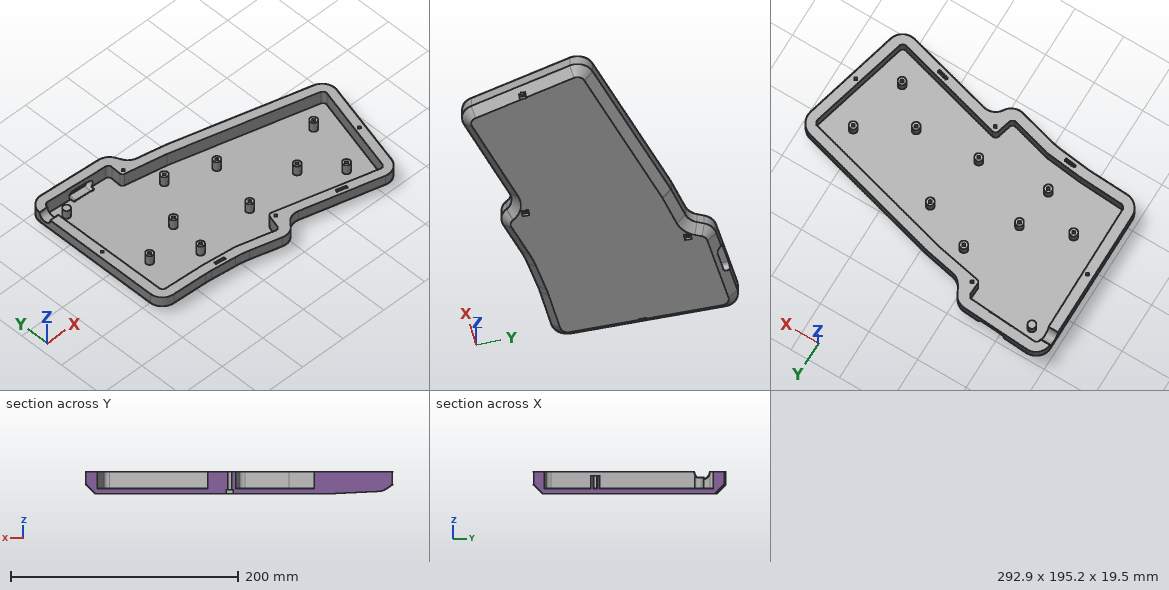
import cadquery as cq
import math

height = 19.5
floor_thickness = 5.0
bottom_chamfer = 8.2

outer_radius = 15.0
gentle_radius = 99.5
jog_radius = 14.7
inner_radius = 4.0
reentrant_radius = 3.0

outer_corners = [
    (0, 196.0, outer_radius),
    (90.8, 190.2, outer_radius),
    (100.8, 170.0, outer_radius),
    (138.5, 162.3, outer_radius),
    (296.2, 119.8, outer_radius),
    (263.5, -3.5, outer_radius),
    (153.8, 25.5, jog_radius),
    (142.0, 6.7, jog_radius),
    (92.3, 20.2, gentle_radius),
    (55.0, 24.5, gentle_radius),
    (0, 27.2, outer_radius),
]
inner_corners = [
    (9.7, 185.5, inner_radius),
    (84.7, 180.2, inner_radius),
    (83.8, 163.0, reentrant_radius),
    (130.0, 153.8, 0),
    (284.2, 112.5, inner_radius),
    (256.0, 8.5, inner_radius),
    (142.5, 39.0, inner_radius),
    (136.8, 18.8, inner_radius),
    (94.3, 30.2, 0),
    (58.0, 34.3, 0),
    (10.5, 37.0, inner_radius),
]

post_diameter = 8.0
post_bottom = floor_thickness / 2
post_top = 16.0
screw_diameter = 3.0
screw_posts = [
    (113.7, 140.0), (82.5, 96.7), (37.0, 80.0), (77.0, 56.8), (144.5, 64.0),
    (159.7, 121.0), (254.3, 95.8), (206.5, 67.7), (238.8, 38.5),
]

support_post = (24.3, 171.7)
support_top = 14.7

rim_holes = [(6.0, 107.8), (89.0, 166.5), (146.2, 32.8), (274.3, 58.5)]
nut_width = 6.0
nut_depth = 3.5

rim_slots = [(72.5, 27.5, -7), (210.7, 15.8, -15)]
rim_slot_length = 10.5
rim_slot_width = 2.3
rim_slot_depth = 3.0

notch_radius = 6.7
notch_y = 174.0
notch_length = 14.7

port_length = 27.2
port_height = 10.0
port_bottom = 3.8
port_x = 52.5
port_inner_y = 178.7
port_cut_length = 23.5
port_angle = -4.0


def direction(start, end):
    """Unit vector from start to end."""
    dx = end[0] - start[0]
    dy = end[1] - start[1]
    length = math.hypot(dx, dy)
    return dx / length, dy / length


def rounded_outline(corners):
    """Closed polygon on the XY plane with every corner rounded by a tangent arc.

    A corner of radius 0 stays sharp.
    """
    arcs = []
    for i, (x, y, radius) in enumerate(corners):
        to_last = direction((x, y), corners[i - 1])
        to_next = direction((x, y), corners[(i + 1) % len(corners)])
        cosine = to_last[0] * to_next[0] + to_last[1] * to_next[1]
        half_angle = math.acos(cosine) / 2
        tangent = radius / math.tan(half_angle)
        arc_gap = radius / math.sin(half_angle) - radius
        bisector = direction((0, 0), (to_last[0] + to_next[0], to_last[1] + to_next[1]))

        arc_start = (x + tangent * to_last[0], y + tangent * to_last[1])
        arc_middle = (x + arc_gap * bisector[0], y + arc_gap * bisector[1])
        arc_end = (x + tangent * to_next[0], y + tangent * to_next[1])
        arcs.append((arc_start, arc_middle, arc_end))

    last_end = arcs[-1][2]
    outline = cq.Workplane("XY").moveTo(*last_end)
    for (arc_start, arc_middle, arc_end), (_, _, radius) in zip(arcs, corners):
        outline = outline.lineTo(*arc_start)
        if radius > 0:
            outline = outline.threePointArc(arc_middle, arc_end)
    return outline.close()


def cylinders(points, diameter, bottom, top):
    """Vertical cylinders at the given points."""
    return (
        cq.Workplane("XY")
        .workplane(offset=bottom)
        .pushPoints(points)
        .circle(diameter / 2)
        .extrude(top - bottom)
    )


def tray():
    """Open case with a bevelled underside."""
    body = rounded_outline(outer_corners).extrude(height)
    body = body.faces("<Z").chamfer(bottom_chamfer)
    cavity = rounded_outline(inner_corners).extrude(height)
    return body.cut(cavity.translate((0, 0, floor_thickness)))


def rim_slot(x, y, angle):
    """Blind rectangular slot sunk into the top of the rim."""
    slot = cq.Workplane("XY").box(
        rim_slot_length, rim_slot_width, rim_slot_depth, centered=(True, True, False)
    )
    slot = slot.rotate((0, 0, 0), (0, 0, 1), angle)
    return slot.translate((x, y, height - rim_slot_depth))


def nut_pockets():
    """Square pockets centred on the rim holes, open at the underside."""
    return cq.Workplane("XY").pushPoints(rim_holes).rect(nut_width, nut_width).extrude(nut_depth)


def cable_notch():
    """Cylinder along X, centred on the top face of the left wall."""
    return (
        cq.Workplane("YZ")
        .center(notch_y, height)
        .circle(notch_radius)
        .extrude(notch_length)
    )


def port():
    """Stadium prism square to the upper left wall, dipping into the floor."""
    prism = cq.Workplane("XZ").slot2D(port_length, port_height).extrude(-port_cut_length)
    prism = prism.rotate((0, 0, 0), (0, 0, 1), port_angle)
    return prism.translate((port_x, port_inner_y, port_bottom + port_height / 2))


result = tray()
result = result.union(cylinders(screw_posts, post_diameter, post_bottom, post_top))
result = result.union(cylinders([support_post], post_diameter, post_bottom, support_top))
result = result.cut(cylinders(screw_posts, screw_diameter, floor_thickness, post_top))
result = result.cut(cylinders(rim_holes, screw_diameter, 0, height))
result = result.cut(nut_pockets())
for slot_x, slot_y, slot_angle in rim_slots:
    result = result.cut(rim_slot(slot_x, slot_y, slot_angle))
result = result.cut(cable_notch())
result = result.cut(port())